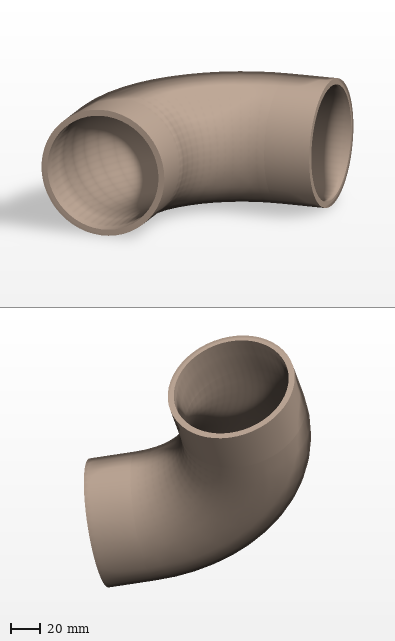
import cadquery as cq

outer_diameter = 90.0
wall = 4.3
bend_radius = 90.0
bend_angle = 90.0
spigot_length = 33.0

outer_radius = outer_diameter / 2
inner_radius = outer_radius - wall


def ring(plane):
    """Pipe cross-section centred on the given plane."""
    return cq.Workplane(plane).circle(outer_radius).circle(inner_radius)


def make_bend():
    """Quarter torus from the -Y facing joint at the origin to the +X facing joint."""
    return ring("XZ").revolve(bend_angle, (bend_radius, 1, 0), (bend_radius, 0, 0))


def make_spigot_toward_minus_y():
    return ring("XZ").extrude(spigot_length)


def make_spigot_toward_plus_x():
    joint = cq.Plane(origin=(bend_radius, bend_radius, 0), xDir=(0, 1, 0), normal=(1, 0, 0))
    return ring(joint).extrude(spigot_length)


result = make_bend().union(make_spigot_toward_minus_y()).union(make_spigot_toward_plus_x())